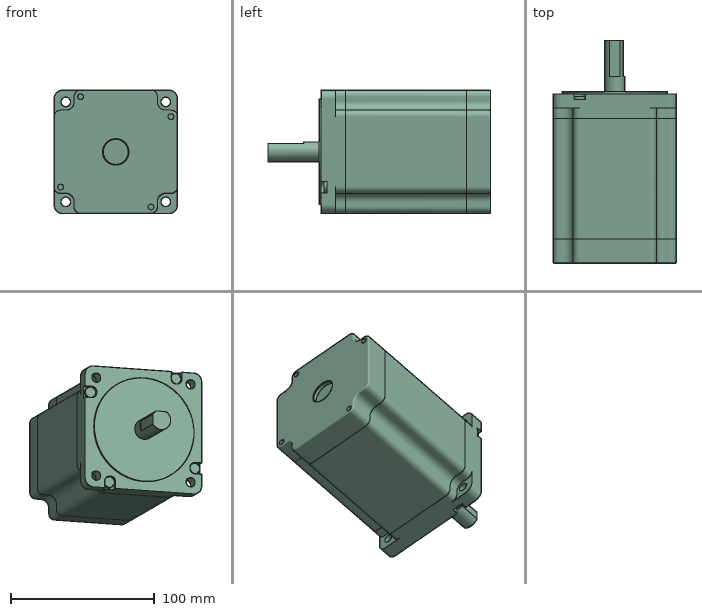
import cadquery as cq
import math


body_width = 86.0
half_width = body_width / 2
mount_hole_spacing = 69.6
mount_hole_offset = mount_hole_spacing / 2
mount_hole_diameter = 6.5
relief_radius = 5.8
shoulder_radius = 4.5
flange_corner_radius = 6.0

flange_thickness = 10.0
front_cover_length = 17.0
rear_cover_length = 17.0
stator_length = 84.0
stator_front_y = -front_cover_length
stator_rear_y = stator_front_y - stator_length
rear_y = stator_rear_y - rear_cover_length

pilot_diameter = 73.5
pilot_height = 1.5
shaft_diameter = 14.0
shaft_length = 37.2
flat_length = 25.0
flat_depth = 1.0

rear_edge_radius = 1.0
rear_bore_diameter = 17.4
rear_bore_depth = 3.0
rear_bore_chamfer = 0.5

screw_long_offset = 38.4
screw_short_offset = 24.5
screw_diameter = 4.0
screw_head_diameter = 7.5
screw_head_height = 2.0
head_pocket_width = 8.0
head_pocket_depth = 4.0
screw_end_recess = 2.2
corner_angles = [0, 90, 180, 270]


def plane_at(y):
    """Workplane across the motor axis at y, with local axes X and Z, extruding towards -Y."""
    return cq.Workplane("XZ", origin=(0, y, 0))


def rod(diameter, y_front, length, x=0.0, z=0.0):
    """Cylinder along Y that starts at y_front and runs towards -Y."""
    return plane_at(y_front).center(x, z).circle(diameter / 2).extrude(length)


def turned(shape, angle):
    """Copy of the shape turned about the motor axis."""
    return shape.rotate((0, 0, 0), (0, 1, 0), angle)


def relieved_block(y_front, length):
    """Square block whose four corners carry an S-shaped relief around the mounting holes."""
    relief_wall = mount_hole_offset - relief_radius
    side_end = relief_wall - shoulder_radius
    shoulder_centre = half_width - shoulder_radius
    diagonal = math.sqrt(0.5)
    shoulder_mid = shoulder_radius * diagonal
    relief_mid = mount_hole_offset - relief_radius * diagonal

    near_mid = side_end + shoulder_mid
    far_mid = shoulder_centre + shoulder_mid
    corner_arcs = [
        [(side_end, half_width), (near_mid, far_mid), (relief_wall, shoulder_centre)],
        [(relief_wall, mount_hole_offset), (relief_mid, relief_mid), (mount_hole_offset, relief_wall)],
        [(shoulder_centre, relief_wall), (far_mid, near_mid), (half_width, side_end)],
    ]
    arcs = []
    for _ in range(4):
        arcs += corner_arcs
        corner_arcs = [[(z, -x) for x, z in arc] for arc in corner_arcs]

    first_start, first_middle, first_end = arcs[0]
    outline = plane_at(y_front).moveTo(*first_start).threePointArc(first_middle, first_end)
    for start, middle, end in arcs[1:]:
        outline = outline.lineTo(*start).threePointArc(middle, end)
    return outline.close().extrude(length)


def screw_holes():
    """Shank holes from the head pockets to the rear face."""
    hole = rod(screw_diameter, 0, -rear_y, -screw_short_offset, screw_long_offset)
    return [turned(hole, angle) for angle in corner_angles]


def head_pocket():
    """Round-bottomed slot for a screw head, open to the mounting face and to the side."""
    pocket = rod(head_pocket_width, 0, head_pocket_depth, -screw_short_offset, screw_long_offset)
    mouth_length = half_width - screw_long_offset
    mouth = (
        plane_at(0)
        .center(-screw_short_offset, screw_long_offset + mouth_length / 2)
        .rect(head_pocket_width, mouth_length)
        .extrude(head_pocket_depth)
    )
    return pocket.union(mouth)


def make_shaft():
    """Output shaft with two flats at right angles, on the +X and +Z sides."""
    shaft = rod(shaft_diameter, shaft_length, shaft_length)
    flat_distance = shaft_diameter / 2 - flat_depth
    cutter = (
        plane_at(shaft_length)
        .center(0, flat_distance + flat_depth / 2)
        .rect(shaft_diameter, flat_depth)
        .extrude(flat_length)
    )
    return shaft.cut(cutter).cut(turned(cutter, 90))


def make_front_cover():
    """Mounting flange, pilot and output shaft in one piece."""
    flange = (
        plane_at(0)
        .rect(body_width, body_width)
        .extrude(flange_thickness)
        .edges("|Y")
        .fillet(flange_corner_radius)
    )
    cover = flange.union(relieved_block(-flange_thickness, front_cover_length - flange_thickness))
    mount_holes = (
        plane_at(0)
        .rect(mount_hole_spacing, mount_hole_spacing, forConstruction=True)
        .vertices()
        .circle(mount_hole_diameter / 2)
        .extrude(flange_thickness)
    )
    cover = cover.cut(mount_holes)
    for angle in corner_angles:
        cover = cover.cut(turned(head_pocket(), angle))
    for hole in screw_holes():
        cover = cover.cut(hole)
    cover = cover.union(rod(pilot_diameter, pilot_height, pilot_height))
    return cover.union(make_shaft())


def make_stator():
    """Laminated middle section."""
    stator = relieved_block(stator_front_y, stator_length)
    for hole in screw_holes():
        stator = stator.cut(hole)
    return stator


def make_rear_cover():
    """Rear cover with a rounded outer edge and a shallow chamfered bore on the axis."""
    cover = relieved_block(stator_rear_y, rear_cover_length)
    cover = cover.faces("<Y").edges().fillet(rear_edge_radius)
    bore = rod(rear_bore_diameter, rear_y + rear_bore_depth, rear_bore_depth)
    bore_mouth = (
        plane_at(rear_y + rear_bore_chamfer)
        .circle(rear_bore_diameter / 2)
        .workplane(offset=rear_bore_chamfer)
        .circle(rear_bore_diameter / 2 + rear_bore_chamfer)
        .loft(ruled=True)
    )
    cover = cover.cut(bore).cut(bore_mouth)
    for hole in screw_holes():
        cover = cover.cut(hole)
    return cover


def make_screw(angle):
    """Clamping screw seated on the floor of its head pocket."""
    seat_y = -head_pocket_depth
    place = (-screw_short_offset, screw_long_offset)
    head = rod(screw_head_diameter, seat_y + screw_head_height, screw_head_height, *place)
    shank_length = seat_y - rear_y - screw_end_recess
    shank = rod(screw_diameter, seat_y, shank_length, *place)
    return turned(head.union(shank), angle)


front_cover = make_front_cover()
stator = make_stator()
rear_cover = make_rear_cover()
screws = [make_screw(angle) for angle in corner_angles]

result = cq.Compound.makeCompound(
    [front_cover.val(), stator.val(), rear_cover.val(), *[screw.val() for screw in screws]]
)